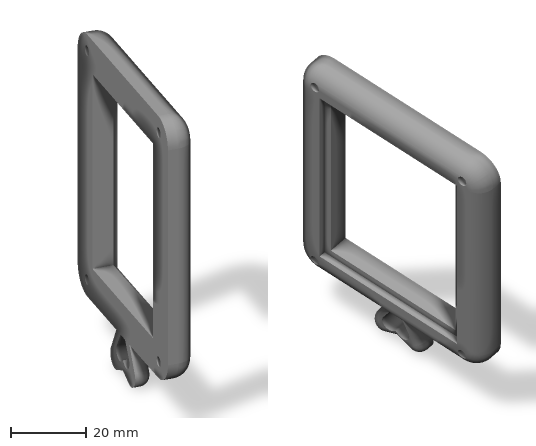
import cadquery as cq
import math

frame_width = 65.0
frame_height = 78.0
frame_depth = 8.0
corner_radius = 7.0
frame_back_fillet = 5.0
window_width = 43.7
window_height = 58.0

rebate_depth = 2.0
rebate_margin = 2.2

hole_diameter = 2.9
hole_spacing_x = 51.6
hole_spacing_z = 68.2

tab_drop = 12.08
tab_depth = 5.0
tab_back_fillet = 3.0
tab_overlap = 1.0
frame_bottom = -frame_height / 2

outer_lobe_radius = 3.4
outer_lobe_x = 5.6
outer_lobe_z = outer_lobe_radius - tab_drop
outer_side_angle = 29.0
outer_cusp_z = -9.9

inner_lobe_radius = 2.35
inner_lobe_x = 2.4
inner_lobe_z = -5.8
inner_side_angle = 31.5
inner_cusp_z = -6.9


def heart_face(lobe_x, lobe_z, radius, side_angle, cusp_z, top_z):
    """Upside-down heart outline with a flat top: straight sides, round lobes, straight runs to the cusp."""
    slope = math.radians(side_angle)

    def on_lobe(angle):
        return lobe_x + radius * math.cos(angle), lobe_z + radius * math.sin(angle)

    side_x, side_z = on_lobe(slope)
    top_x = side_x - (top_z - side_z) * math.tan(slope)

    cusp_distance = math.hypot(lobe_x, cusp_z - lobe_z)
    cusp_direction = math.atan2(cusp_z - lobe_z, -lobe_x)
    cusp_angle = cusp_direction + math.acos(radius / cusp_distance)
    under_x, under_z = on_lobe(cusp_angle)
    mid_x, mid_z = on_lobe((slope + cusp_angle) / 2)

    return (
        cq.Workplane("XZ", origin=(0, 0, frame_bottom))
        .moveTo(-top_x, top_z)
        .lineTo(top_x, top_z)
        .lineTo(side_x, side_z)
        .threePointArc((mid_x, mid_z), (under_x, under_z))
        .lineTo(0, cusp_z)
        .lineTo(-under_x, under_z)
        .threePointArc((-mid_x, mid_z), (-side_x, side_z))
        .close()
    )


def make_frame():
    frame = (
        cq.Workplane("XZ")
        .rect(frame_width, frame_height)
        .extrude(-frame_depth)
        .edges("|Y")
        .fillet(corner_radius)
        .faces(">Y")
        .edges()
        .fillet(frame_back_fillet)
    )
    window = cq.Workplane("XZ").rect(window_width, window_height).extrude(-frame_depth)
    rebate = (
        cq.Workplane("XZ", origin=(0, frame_depth, 0))
        .rect(window_width + 2 * rebate_margin, window_height + 2 * rebate_margin)
        .extrude(rebate_depth)
    )
    holes = (
        cq.Workplane("XZ")
        .rect(hole_spacing_x, hole_spacing_z, forConstruction=True)
        .vertices()
        .circle(hole_diameter / 2)
        .extrude(-frame_depth)
    )
    return frame.cut(window).cut(rebate).cut(holes)


def make_tab():
    body = heart_face(
        outer_lobe_x, outer_lobe_z, outer_lobe_radius, outer_side_angle, outer_cusp_z, tab_overlap
    ).extrude(-tab_depth)
    body = body.faces(">Y").edges("not >Z").fillet(tab_back_fillet)
    opening = heart_face(
        inner_lobe_x, inner_lobe_z, inner_lobe_radius, inner_side_angle, inner_cusp_z, 0
    ).extrude(-tab_depth)
    return body.cut(opening)


result = make_frame().union(make_tab())